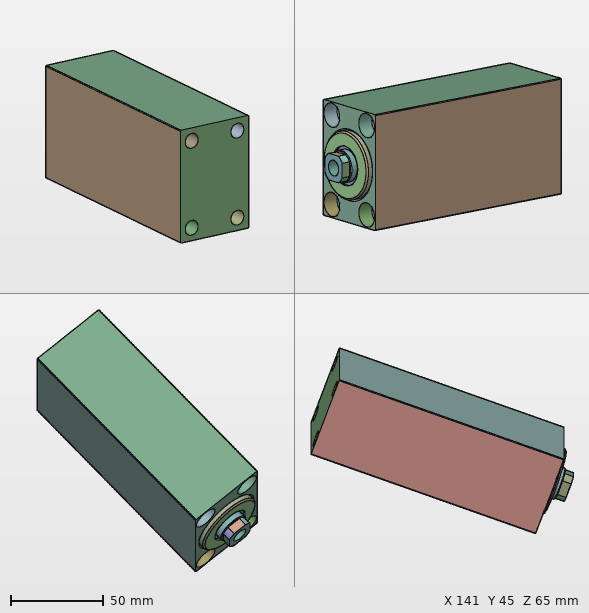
import cadquery as cq
import math

overall_length = 141.0
housing_length = 130.0
housing_width = 45.0
housing_height = 65.0
housing_edge_chamfer = 0.5

mount_spacing_y = 30.0
mount_spacing_z = 50.0
mount_hole_diameter = 8.5
counterbore_diameter = 13.5
counterbore_depth = 9.0

gland_diameter = 38.0
gland_depth = 19.7
gland_protrusion = 3.0
gland_chamfer = 1.0
seat_chamfer = 1.0
wiper_recess_diameter = 22.0
wiper_recess_depth = 1.3

rod_diameter = 18.0
rod_protrusion = 3.0
rod_chamfer = 0.5
wrench_flat_size = 15.0
rod_hole_diameter = 8.7
rod_hole_depth = 15.0
drill_point_angle = 118.0

gland_front_x = -gland_protrusion
rod_shoulder_x = gland_front_x - rod_protrusion
rod_tip_x = housing_length - overall_length
wrench_corner_diameter = rod_diameter - 2 * rod_chamfer


def cylinder_along_x(diameter, start_x, end_x):
    return (
        cq.Workplane("YZ", origin=(start_x, 0, 0))
        .circle(diameter / 2)
        .extrude(end_x - start_x)
    )


def cone_along_x(start_diameter, end_diameter, start_x, end_x):
    """Solid of revolution about X whose diameter changes evenly, down to a point if an end is zero."""
    profile = [
        (start_x, 0),
        (start_x, start_diameter / 2),
        (end_x, end_diameter / 2),
    ]
    if end_diameter > 0:
        profile.append((end_x, 0))
    return cq.Workplane("XY").polyline(profile).close().revolve(360, (0, 0, 0), (1, 0, 0))


def make_housing():
    block = (
        cq.Workplane("YZ")
        .rect(housing_width, housing_height)
        .extrude(housing_length)
        .edges("|X")
        .chamfer(housing_edge_chamfer)
    )
    hole_centres = cq.Workplane("YZ").rect(mount_spacing_y, mount_spacing_z, forConstruction=True).vertices()
    mount_holes = hole_centres.circle(mount_hole_diameter / 2).extrude(housing_length)
    counterbores = hole_centres.circle(counterbore_diameter / 2).extrude(counterbore_depth)
    gland_seat = cylinder_along_x(gland_diameter, 0, gland_depth)
    seat_entry = cone_along_x(gland_diameter + 2 * seat_chamfer, gland_diameter, 0, seat_chamfer)
    return block.cut(mount_holes).cut(counterbores).cut(gland_seat).cut(seat_entry)


def make_gland():
    chamfer_end_x = gland_front_x + gland_chamfer
    front_diameter = gland_diameter - 2 * gland_chamfer
    rim = cone_along_x(front_diameter, gland_diameter, gland_front_x, chamfer_end_x)
    barrel = cylinder_along_x(gland_diameter, chamfer_end_x, gland_depth)
    wiper_recess = cylinder_along_x(wiper_recess_diameter, gland_front_x, gland_front_x + wiper_recess_depth)
    rod_bore = cylinder_along_x(rod_diameter, gland_front_x, gland_depth)
    return rim.union(barrel).cut(wiper_recess).cut(rod_bore)


def make_rod():
    chamfer_end_x = rod_shoulder_x + rod_chamfer
    shaft = cylinder_along_x(rod_diameter, chamfer_end_x, gland_depth)
    shoulder = cone_along_x(wrench_corner_diameter, rod_diameter, rod_shoulder_x, chamfer_end_x)
    wrench_square = (
        cq.Workplane("YZ", origin=(rod_tip_x, 0, 0))
        .rect(wrench_flat_size, wrench_flat_size)
        .extrude(rod_shoulder_x - rod_tip_x)
    )
    wrench_end = cylinder_along_x(wrench_corner_diameter, rod_tip_x, rod_shoulder_x).intersect(wrench_square)

    hole_end_x = rod_tip_x + rod_hole_depth
    drill_point_length = rod_hole_diameter / 2 / math.tan(math.radians(drill_point_angle / 2))
    drilled_hole = cylinder_along_x(rod_hole_diameter, rod_tip_x, hole_end_x)
    drill_point = cone_along_x(rod_hole_diameter, 0, hole_end_x, hole_end_x + drill_point_length)
    return shaft.union(shoulder).union(wrench_end).cut(drilled_hole).cut(drill_point)


housing = make_housing()
gland = make_gland()
rod = make_rod()

result = cq.Compound.makeCompound([housing.val(), gland.val(), rod.val()])